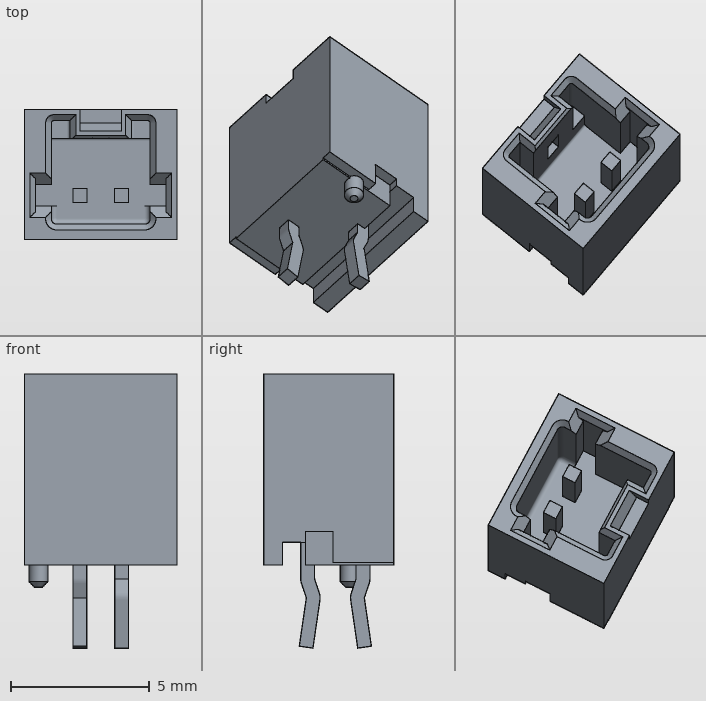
import cadquery as cq
import math

BODY_X = 5.5
BODY_Y = 4.7
BODY_HEIGHT = 6.9
TOTAL_HEIGHT = 9.9
OVERCUT = 0.1
PICK_MARGIN = 0.01

CAVITY_HALF_X = 1.78
CAVITY_FRONT_Y = -1.79
CAVITY_BACK_Y = 1.95
FLOOR_Z = 2.0
MOUTH_CHAMFER = 0.21
FRONT_CORNER_RADIUS = 0.2
BACK_CORNER_RADIUS = 0.1
FRONT_FLOOR_FILLET = 0.19
BACK_FLOOR_FILLET = 0.1

KEY_HALF_X = 2.35
KEY_FRONT_Y = -1.14
KEY_BACK_Y = -0.36
KEY_LEAD_IN = 0.41

LATCH_HALF_X = 1.11
LATCH_FRONT_Y = 1.31
LATCH_FRONT_CHAMFER = 0.11
POCKET_FLOOR_Z = 3.35
WINDOW_WIDTH = 0.59
WINDOW_DEPTH = 0.59
WINDOW_TOP_Z = 5.1

NOTCH_WIDTH = 1.485
NOTCH_LENGTH = 0.78
NOTCH_DEPTH = 0.5
NOTCH_RAMP_LENGTH = 0.3

CROSS_SLOT_FRONT_Y = -1.66
CROSS_SLOT_BACK_Y = -0.84
CROSS_SLOT_HEIGHT = 0.82
SIDE_CUT_DEPTH = 0.37
SIDE_RECESS_BACK_Y = 0.16
SIDE_RECESS_HEIGHT = 1.22
SIDE_STEP_HEIGHT = 0.1

PEG_X = -2.25
PEG_Y = 0.75
PEG_RADIUS = 0.35
PEG_LENGTH = 0.8
PEG_CHAMFER = 0.21

CONTACT_SIZE = 0.5
CONTACT_X = 0.75
POST_Y = -0.76
POST_TOP_Z = 5.0
LEG_ROW_SPACING = 2.0
BACK_LEG_Y = POST_Y + LEG_ROW_SPACING
FIRST_BEND_Z = -0.495
SECOND_BEND_Z = -1.18
KINK_ANGLE = math.radians(18.7)
SPLAY_ANGLE = math.radians(8.3)


def block(x0, x1, y0, y1, z0, z1):
    """Axis-aligned box between two opposite corners."""
    return cq.Workplane("XY").box(x1 - x0, y1 - y0, z1 - z0, centered=False).translate((x0, y0, z0))


def rounded_well(front_y, back_y, half_x, front_radius, back_radius, z0, z1):
    """Box with its front and back vertical edges rounded."""
    well = block(-half_x, half_x, front_y, back_y, z0, z1)
    well = well.edges("|Z and <Y").fillet(front_radius)
    return well.edges("|Z and >Y").fillet(back_radius)


def cavity_mouth():
    """Flared top of the cavity: a 45 degree chamfer that widens upward."""
    mouth = rounded_well(
        CAVITY_FRONT_Y - MOUTH_CHAMFER,
        CAVITY_BACK_Y + MOUTH_CHAMFER,
        CAVITY_HALF_X + MOUTH_CHAMFER,
        FRONT_CORNER_RADIUS + MOUTH_CHAMFER,
        BACK_CORNER_RADIUS + MOUTH_CHAMFER,
        BODY_HEIGHT - MOUTH_CHAMFER,
        BODY_HEIGHT,
    )
    outline = mouth.faces(">Z").wires().val()
    rim = cq.Workplane("XY", origin=(0, 0, BODY_HEIGHT)).add(outline).toPending()
    return rim.extrude(-MOUTH_CHAMFER, taper=45)


def key_slots():
    """Slot across the cavity, flared at the top more along Y than along X."""
    length_y = KEY_BACK_Y - KEY_FRONT_Y
    mid_y = (KEY_BACK_Y + KEY_FRONT_Y) / 2

    def flared_profile(plane, half_width, flare):
        return (
            cq.Workplane(plane)
            .moveTo(-half_width, FLOOR_Z)
            .lineTo(half_width, FLOOR_Z)
            .lineTo(half_width, BODY_HEIGHT - flare)
            .lineTo(half_width + flare, BODY_HEIGHT)
            .lineTo(-half_width - flare, BODY_HEIGHT)
            .lineTo(-half_width, BODY_HEIGHT - flare)
            .close()
            .extrude(BODY_X, both=True)
        )

    along_x = flared_profile("XZ", KEY_HALF_X, MOUTH_CHAMFER)
    along_y = flared_profile("YZ", length_y / 2, KEY_LEAD_IN).translate((0, mid_y, 0))
    return along_x.intersect(along_y)


def latch_post():
    """Post left standing in the back of the cavity, chamfered on top."""
    post = block(-LATCH_HALF_X, LATCH_HALF_X, LATCH_FRONT_Y, BODY_Y / 2, FLOOR_Z, BODY_HEIGHT)
    post = post.faces(">Z").edges("|Y").chamfer(MOUTH_CHAMFER)
    return post.faces(">Z").edges("<Y").chamfer(LATCH_FRONT_CHAMFER)


def cavity():
    """Whole empty volume of the mating cavity, around the latch post."""
    well = rounded_well(
        CAVITY_FRONT_Y, CAVITY_BACK_Y, CAVITY_HALF_X,
        FRONT_CORNER_RADIUS, BACK_CORNER_RADIUS, POCKET_FLOOR_Z, BODY_HEIGHT,
    ).cut(latch_post())
    pocket_edges = cq.selectors.BoxSelector(
        (-LATCH_HALF_X - PICK_MARGIN, LATCH_FRONT_Y + PICK_MARGIN, POCKET_FLOOR_Z - PICK_MARGIN),
        (LATCH_HALF_X + PICK_MARGIN, CAVITY_BACK_Y - PICK_MARGIN, POCKET_FLOOR_Z + PICK_MARGIN),
    )
    well = well.edges(pocket_edges).fillet(BACK_FLOOR_FILLET)

    front = block(-CAVITY_HALF_X, CAVITY_HALF_X, CAVITY_FRONT_Y, KEY_FRONT_Y, FLOOR_Z, POCKET_FLOOR_Z)
    front = front.edges("|Z and <Y").fillet(FRONT_CORNER_RADIUS)
    front = front.faces("<Z").edges("not >Y").fillet(FRONT_FLOOR_FILLET)

    back = block(-CAVITY_HALF_X, CAVITY_HALF_X, KEY_FRONT_Y, LATCH_FRONT_Y, FLOOR_Z, POCKET_FLOOR_Z)
    back = back.faces("<Z").edges(">Y").fillet(BACK_FLOOR_FILLET)

    mouth = cavity_mouth().cut(latch_post())
    return well.union(front).union(back).union(mouth).union(key_slots())


def latch_window():
    """Blind catch window in the front of the latch post."""
    return block(
        -WINDOW_WIDTH / 2, WINDOW_WIDTH / 2,
        LATCH_FRONT_Y, LATCH_FRONT_Y + WINDOW_DEPTH,
        POCKET_FLOOR_Z, WINDOW_TOP_Z,
    )


def back_notch():
    """Notch in the back wall whose floor ramps up to the top of the latch."""
    back_y = BODY_Y / 2
    inner_y = back_y - NOTCH_LENGTH
    floor_z = BODY_HEIGHT - NOTCH_DEPTH
    return (
        cq.Workplane("YZ")
        .moveTo(back_y, BODY_HEIGHT)
        .lineTo(back_y, floor_z)
        .lineTo(inner_y + NOTCH_RAMP_LENGTH, floor_z)
        .lineTo(inner_y, BODY_HEIGHT)
        .close()
        .extrude(NOTCH_WIDTH / 2, both=True)
    )


def bottom_cuts():
    """Cross slot plus a recess and a shallow step along each side."""
    half_x = BODY_X / 2
    cuts = block(
        -half_x - OVERCUT, half_x + OVERCUT,
        CROSS_SLOT_FRONT_Y, CROSS_SLOT_BACK_Y, -OVERCUT, CROSS_SLOT_HEIGHT,
    )
    for x0, x1 in (
        (-half_x - OVERCUT, -half_x + SIDE_CUT_DEPTH),
        (half_x - SIDE_CUT_DEPTH, half_x + OVERCUT),
    ):
        recess = block(
            x0, x1, CROSS_SLOT_BACK_Y, SIDE_RECESS_BACK_Y, -OVERCUT, SIDE_RECESS_HEIGHT,
        )
        step = block(
            x0, x1, SIDE_RECESS_BACK_Y, BODY_Y / 2 + OVERCUT, -OVERCUT, SIDE_STEP_HEIGHT,
        )
        cuts = cuts.union(recess).union(step)
    return cuts


def locating_peg():
    """Round peg with a chamfered tip, rooted in the housing above the side step."""
    return (
        cq.Workplane("XY", origin=(PEG_X, PEG_Y, -PEG_LENGTH))
        .circle(PEG_RADIUS)
        .extrude(PEG_LENGTH + SIDE_STEP_HEIGHT + OVERCUT)
        .faces("<Z")
        .chamfer(PEG_CHAMFER)
    )


def leg():
    """Kinked leg centred on Y = 0: it leans to +Y, then splays back to -Y.

    Each bend is sharp on its inner side and a concentric arc on its outer side.
    """
    half = CONTACT_SIZE / 2
    tip_z = BODY_HEIGHT - TOTAL_HEIGHT

    def around(centre, angle):
        return (
            centre[0] + CONTACT_SIZE * math.cos(angle),
            centre[1] + CONTACT_SIZE * math.sin(angle),
        )

    bend_1 = (half, FIRST_BEND_Z)
    arc_1_middle = around(bend_1, math.pi + KINK_ANGLE / 2)
    arc_1_end = around(bend_1, math.pi + KINK_ANGLE)

    lean_drop = arc_1_end[1] - SECOND_BEND_Z
    bend_2 = (arc_1_end[0] + lean_drop * math.tan(KINK_ANGLE), SECOND_BEND_Z)
    arc_2_start = around(bend_2, KINK_ANGLE)
    arc_2_middle = around(bend_2, (KINK_ANGLE - SPLAY_ANGLE) / 2)
    arc_2_end = around(bend_2, -SPLAY_ANGLE)

    splay_drop = arc_2_end[1] - tip_z
    tip_shift = splay_drop * math.tan(SPLAY_ANGLE)
    return (
        cq.Workplane("YZ")
        .moveTo(half, FLOOR_Z)
        .lineTo(-half, FLOOR_Z)
        .lineTo(-half, FIRST_BEND_Z)
        .threePointArc(arc_1_middle, arc_1_end)
        .lineTo(*bend_2)
        .lineTo(bend_2[0] - tip_shift, bend_2[1] - splay_drop)
        .lineTo(arc_2_end[0] - tip_shift, tip_z)
        .lineTo(*arc_2_end)
        .threePointArc(arc_2_middle, arc_2_start)
        .lineTo(*bend_1)
        .close()
        .extrude(half, both=True)
    )


def contacts():
    """Posts side by side, with the second leg set back and facing the first."""
    front_leg = leg().translate((-CONTACT_X, POST_Y, 0))
    back_leg = leg().mirror("XZ").translate((CONTACT_X, BACK_LEG_Y, 0))
    posts = (
        cq.Workplane("XY", origin=(0, 0, FLOOR_Z - OVERCUT))
        .pushPoints([(-CONTACT_X, POST_Y), (CONTACT_X, POST_Y)])
        .rect(CONTACT_SIZE, CONTACT_SIZE)
        .extrude(POST_TOP_Z - FLOOR_Z + OVERCUT)
    )
    return front_leg.union(back_leg).union(posts)


housing = block(-BODY_X / 2, BODY_X / 2, -BODY_Y / 2, BODY_Y / 2, 0, BODY_HEIGHT)
housing = housing.cut(cavity()).cut(latch_window()).cut(back_notch()).cut(bottom_cuts())
result = housing.union(locating_peg()).union(contacts())